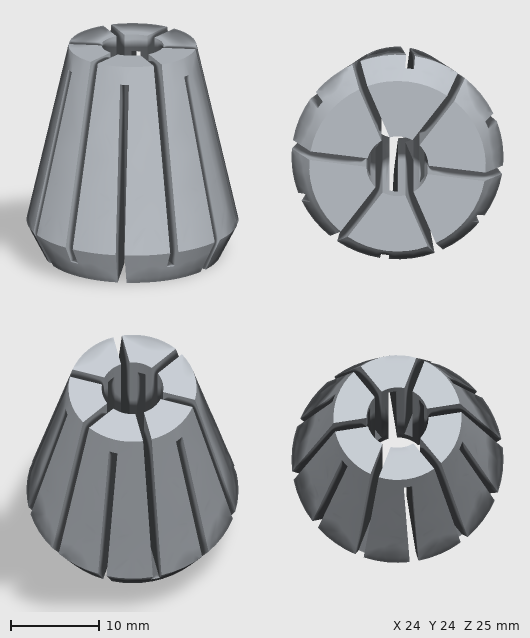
import cadquery as cq

height = 25
base_radius = 10
shoulder_radius = 12
shoulder_height = 4
top_radius = 7.25
bore_diameter = 7

slot_width = 1
slot_end_wall = 2
slots_per_set = 6
slot_pitch = 360 / slots_per_set
slot_length = height - slot_end_wall


def collet_body():
    """Solid of revolution with a short lower cone and a long upper cone."""
    profile = (
        cq.Workplane("XZ")
        .polyline([
            (0, 0),
            (base_radius, 0),
            (shoulder_radius, shoulder_height),
            (top_radius, height),
            (0, height),
        ])
        .close()
    )
    body = profile.revolve(360, (0, 0, 0), (0, 1, 0))
    return body.faces(">Z").workplane().hole(bore_diameter)


def radial_slots(bottom, first_angle):
    """Slot cutters that run from the axis out through the wall."""
    cutter = cq.Workplane("XY").box(
        shoulder_radius + slot_width, slot_width, slot_length, centered=(False, True, False)
    ).translate((0, 0, bottom))
    slots = cq.Workplane("XY")
    for index in range(slots_per_set):
        angle = first_angle + index * slot_pitch
        slots = slots.add(cutter.rotate((0, 0, 0), (0, 0, 1), angle))
    return slots.combine()


top_slots = radial_slots(bottom=slot_end_wall, first_angle=slot_pitch / 2)
bottom_slots = radial_slots(bottom=0, first_angle=0)

result = collet_body().cut(top_slots).cut(bottom_slots)